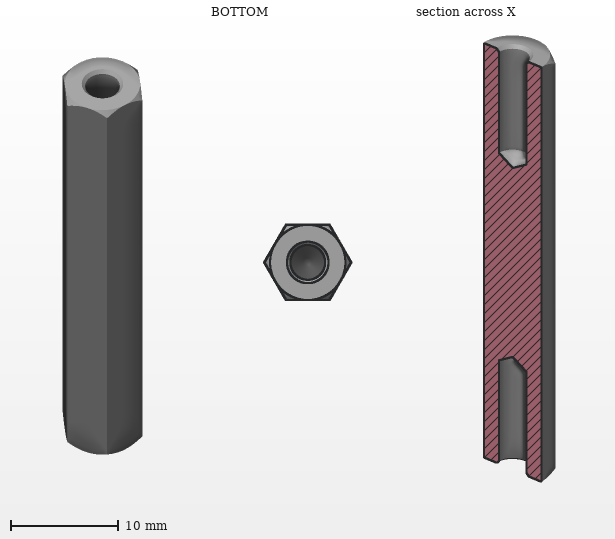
import cadquery as cq
import math

length = 45.0
across_flats = 7.0
across_corners = across_flats / math.cos(math.radians(30))

end_face_diameter = across_flats
corner_chamfer_angle = 45.0

hole_diameter = 3.25
mouth_diameter = 3.85
hole_depth = 11.25
drill_point_angle = 118.0


def corner_envelope():
    """Cylinder with conical ends; its overlap with the hexagon is the body."""
    outer_radius = across_corners / 2
    face_radius = end_face_diameter / 2
    drop = (outer_radius - face_radius) * math.tan(math.radians(corner_chamfer_angle))
    half = length / 2
    return (
        cq.Workplane("XZ")
        .moveTo(0, -half)
        .lineTo(face_radius, -half)
        .lineTo(outer_radius, drop - half)
        .lineTo(outer_radius, half - drop)
        .lineTo(face_radius, half)
        .lineTo(0, half)
        .close()
        .revolve(360, (0, 0, 0), (0, 1, 0))
    )


def top_hole():
    """Drilled hole with a 45 degree countersink, opening at the top face."""
    radius = hole_diameter / 2
    mouth_radius = mouth_diameter / 2
    point_height = radius / math.tan(math.radians(drill_point_angle / 2))
    top = length / 2
    floor = top - hole_depth
    return (
        cq.Workplane("XZ")
        .moveTo(0, top)
        .lineTo(mouth_radius, top)
        .lineTo(radius, top - (mouth_radius - radius))
        .lineTo(radius, floor)
        .lineTo(0, floor - point_height)
        .close()
        .revolve(360, (0, 0, 0), (0, 1, 0))
    )


hexagon = (
    cq.Workplane("XY")
    .polygon(6, across_corners)
    .extrude(length / 2, both=True)
)
upper_hole = top_hole()
lower_hole = upper_hole.mirror("XY")

result = hexagon.intersect(corner_envelope()).cut(upper_hole).cut(lower_hole)